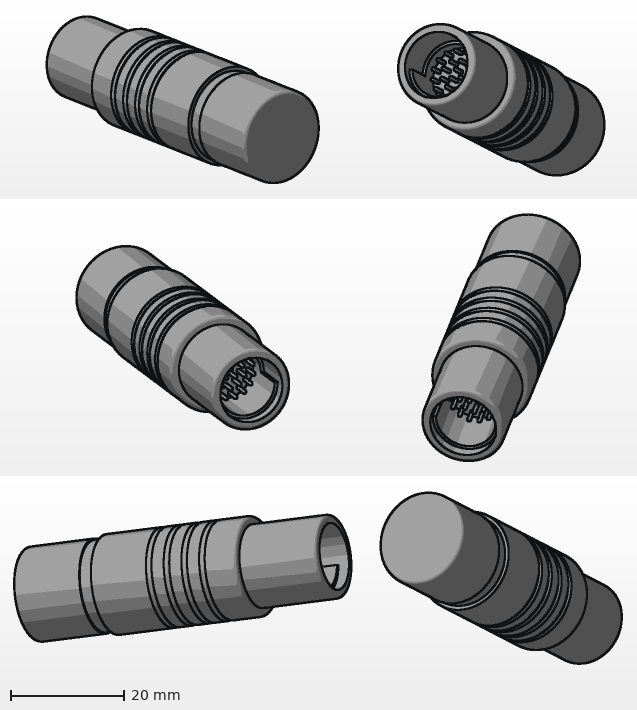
import cadquery as cq
import math


length = 59.0
nose_radius = 7.5
nose_length = 15.0
grip_radius = 9.0
grip_end = 43.4
neck_radius = 8.25
neck_end = 45.95
tail_radius = 8.5
nose_fillet = 0.65
grip_fillet = 0.75
tail_fillet = 0.7

groove_radius = 0.5
groove_depth = 0.35
groove_taper_angle = 36.0
groove_count = 4
first_groove_x = 21.7
groove_pitch = 3.5

socket_radius = 5.95
insert_radius = 5.35
half_shell_x = 2.05
full_shell_x = 8.25
socket_depth = 11.8

pin_radius = 0.35
pin_length = 2.95
pin_root = 0.3
pin_rings = [(15, 4.4, 0.0), (9, 2.65, 20.0), (3, 1.0, 0.0)]


def cylinder(radius, start_x, end_x):
    """Solid cylinder on the X axis."""
    return cq.Workplane("YZ", origin=(start_x, 0, 0)).circle(radius).extrude(end_x - start_x)


def make_body():
    nose = cylinder(nose_radius, 0, nose_length).faces("<X").edges().fillet(nose_fillet)
    grip = cylinder(grip_radius, nose_length, grip_end).faces("<X").edges().fillet(grip_fillet)
    neck = cylinder(neck_radius, grip_end, neck_end)
    tail = cylinder(tail_radius, neck_end, length).faces(">X").edges().fillet(tail_fillet)
    return nose.union(grip).union(neck).union(tail)


def make_groove(center_x):
    """Ring cut with a round bottom and right wall, and a tapered left flank tangent to the round."""
    taper = math.radians(groove_taper_angle)
    center_rise = groove_radius - groove_depth
    center_r = grip_radius + center_rise
    taper_start_x = center_x - (groove_radius - center_rise * math.cos(taper)) / math.sin(taper)
    tangent_point = (center_x - groove_radius * math.sin(taper), center_r - groove_radius * math.cos(taper))
    bottom = (center_x, grip_radius - groove_depth)
    wall_x = center_x + math.sqrt(groove_radius**2 - center_rise**2)
    return (
        cq.Workplane("XY")
        .moveTo(taper_start_x, grip_radius)
        .lineTo(*tangent_point)
        .threePointArc(bottom, (wall_x, grip_radius))
        .lineTo(wall_x, center_r)
        .lineTo(taper_start_x, center_r)
        .close()
        .revolve(360, (0, 0, 0), (1, 0, 0))
    )


def make_socket():
    """Stepped socket; a half shell lines the lower half (Z < 0) of its wide mouth."""
    narrow_bore = cylinder(insert_radius, 0, socket_depth)
    mouth = cylinder(socket_radius, 0, half_shell_x)
    keyway = cylinder(socket_radius, half_shell_x, full_shell_x)
    upper_half = cq.Workplane().box(
        socket_depth, 2 * socket_radius, socket_radius, centered=(False, True, False)
    )
    return narrow_bore.union(mouth).union(keyway.intersect(upper_half))


def make_pin(y, z):
    """Round-ended contact pin standing on the socket floor."""
    dome_x = socket_depth - pin_length + pin_radius
    shank = cylinder(pin_radius, dome_x, socket_depth + pin_root)
    dome = cq.Workplane(origin=(dome_x, 0, 0)).sphere(pin_radius)
    return shank.union(dome).translate((0, y, z))


result = make_body()
for index in range(groove_count):
    result = result.cut(make_groove(first_groove_x + index * groove_pitch))
result = result.cut(make_socket())
for count, ring_radius, first_angle in pin_rings:
    for index in range(count):
        angle = math.radians(first_angle + index * 360 / count)
        result = result.union(make_pin(ring_radius * math.sin(angle), ring_radius * math.cos(angle)))